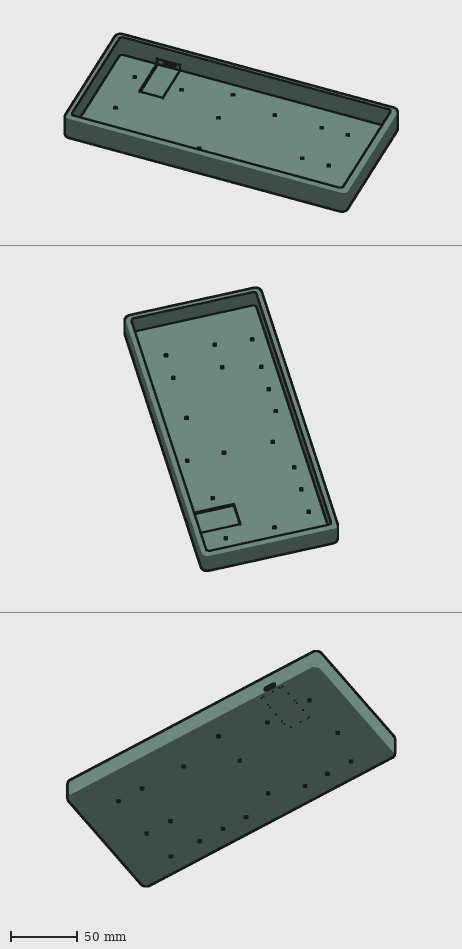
import cadquery as cq

length = 231.0
width = 107.2
height = 20.5
wall = 4.9
floor = 3.0
outer_corner_radius = 5.0
inner_corner_radius = 2.5
edge_radius = 2.3

double_pitch = 38.1
pitch = double_pitch / 2
hole_diameter = 2.0
left_column_x = -90.5
right_column_x = 83.5
center_column_x = left_column_x + 2 * double_pitch
upper_row_y = 1.5 * pitch
middle_row_y = -0.5 * pitch
front_row_y = -2 * pitch
upper_row_x = [left_column_x + step * double_pitch for step in (0, 1, 3, 4)] + [right_column_x]
middle_row_x = [left_column_x, left_column_x + 4 * double_pitch, right_column_x]
center_column_y = [2 * pitch, 0.5 * pitch, -1.5 * pitch]
front_row_x = [-83.5, -62.0, -41.1, 12.5, 33.3, 54.5, 80.9]

pocket_center_x = left_column_x + pitch
pocket_width = 19.2
pocket_front_y = 14.5
pocket_depth = 2.0
notch_setback = 2.0
notch_height = 5.3

connector_length = 9.5
connector_height = 3.7
connector_rise = 1.0
connector_center_z = floor + connector_rise


def make_tray():
    body = cq.Workplane("XY").box(length, width, height, centered=(True, True, False))
    body = body.edges("|Z").fillet(outer_corner_radius)
    body = body.faces("<Z or >Z").edges().fillet(edge_radius)
    cavity = (
        cq.Workplane("XY", origin=(0, 0, floor))
        .rect(length - 2 * wall, width - 2 * wall)
        .extrude(height)
        .edges("|Z")
        .fillet(inner_corner_radius)
    )
    return body.cut(cavity)


def make_holes():
    points = [(x, upper_row_y) for x in upper_row_x]
    points += [(x, middle_row_y) for x in middle_row_x]
    points += [(center_column_x, y) for y in center_column_y]
    points += [(x, front_row_y) for x in front_row_x]
    return cq.Workplane("XY").pushPoints(points).circle(hole_diameter / 2).extrude(height)


def make_pocket():
    back_y = width / 2 - wall + notch_setback
    return cq.Workplane("XY").box(
        pocket_width,
        back_y - pocket_front_y,
        pocket_depth + notch_height,
        centered=(True, False, False),
    ).translate((pocket_center_x, pocket_front_y, floor - pocket_depth))


def make_connector_opening():
    return (
        cq.Workplane("XZ", origin=(pocket_center_x, width / 2, connector_center_z))
        .slot2D(connector_length, connector_height)
        .extrude(wall)
    )


result = make_tray().cut(make_holes()).cut(make_pocket()).cut(make_connector_opening())